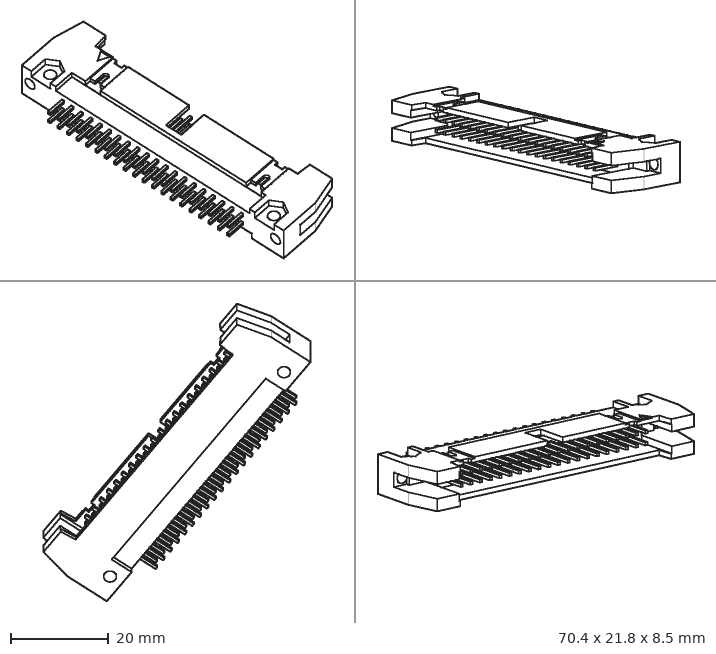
import cadquery as cq
import math

length = 70.4
height = 8.5
wing_top_y = 17.4
shroud_top_y = 13.8
half_length = length / 2
half_height = height / 2

wing_shoulder_y = 10.0
wing_tip_outer_x = 33.45
wing_tip_inner_x = 27.45
wing_root_inner_x = 27.2

wall = 1.1
cavity_half_length = 27.7
cavity_floor_y = 7.4
cavity_height = height - 2 * wall
slot_height = 3.1
slot_outer_floor_y = 5.3
slot_inner_floor_y = 6.1
slot_step_x = 31.8

pin_columns = 20
pin_pitch = 2.5
pin_size = 0.6
pin_tail_y = -4.4
pin_tip_y = 13.6

step_width_y = 5.1
top_step_half_length = 26.05
top_step_depth = 1.3
bottom_step_half_length = 26.6
bottom_step_depth = 1.4

hole_diameter = 2.6
mount_hole_x = 30.05
mount_hole_y = 2.95
nut_sides = 6
nut_width = 5.15
nut_depth = 1.7
end_hole_x = 33.0
end_hole_z = 0.15

foot_depth = 1.2
notch_width = 4.0
notch_floor_y = 6.55

channel_centres = (-20.4, 22.8)
channel_width = 4.0
channel_depth = 0.35
window_width = 1.4
window_top_y = 9.8
rim_cut_width = 2.0
rim_cut_length = 0.85

mark_x = -24.2
mark_width = 2.6
mark_base_y = 13.6
mark_tip_y = 11.0
mark_depth = 0.3


def block(x0, x1, y0, y1, z0, z1):
    """Box between two opposite corners."""
    return cq.Workplane("XY").box(x1 - x0, y1 - y0, z1 - z0, centered=False).translate((x0, y0, z0))


def top_cut(centre_x, width, y0, y1, depth):
    """Box sunk into the top face, centred on centre_x."""
    return block(centre_x - width / 2, centre_x + width / 2, y0, y1, half_height - depth, half_height)


def body_blank():
    """Full-height body with a wing at each end."""
    right_side = [
        (half_length, 0),
        (half_length, wing_shoulder_y),
        (wing_tip_outer_x, wing_top_y),
        (wing_tip_inner_x, wing_top_y),
        (wing_root_inner_x, shroud_top_y),
    ]
    left_side = [(-x, y) for x, y in reversed(right_side)]
    outline = cq.Workplane("XY").polyline(right_side + left_side).close()
    return outline.extrude(half_height, both=True)


def cavity():
    """Mating cavity, open at the rim."""
    return block(
        -cavity_half_length, cavity_half_length,
        cavity_floor_y, wing_top_y,
        -cavity_height / 2, cavity_height / 2,
    )


def latch_slot(side):
    """Stepped slot through one wing into the cavity; side is -1 or 1."""
    half_slot = slot_height / 2
    outer = block(slot_step_x, half_length, slot_outer_floor_y, wing_top_y, -half_slot, half_slot)
    inner = block(cavity_half_length, slot_step_x, slot_inner_floor_y, wing_top_y, -half_slot, half_slot)
    slot = outer.union(inner)
    return slot if side > 0 else slot.mirror("YZ")


def mounting_step(half_step, depth, z_face):
    """Step along the mounting edge, sunk below the top face or above the bottom face."""
    z_inner = z_face - math.copysign(depth, z_face)
    return block(-half_step, half_step, 0, step_width_y, min(z_face, z_inner), max(z_face, z_inner))


def mount_hole(side):
    """Vertical through hole with a hexagonal nut pocket open to the mounting face."""
    x = side * mount_hole_x
    hole = cq.Workplane("XY").circle(hole_diameter / 2).extrude(half_height, both=True)
    nut = (
        cq.Workplane("XY")
        .polygon(nut_sides, nut_width / math.cos(math.pi / nut_sides))
        .extrude(nut_depth)
        .rotate((0, 0, 0), (0, 0, 1), 180 / nut_sides)
        .translate((0, 0, half_height - nut_depth))
    )
    placed = hole.union(nut).translate((x, mount_hole_y, 0))
    return placed.union(top_cut(x, nut_width, 0, mount_hole_y, nut_depth))


def end_hole(side):
    """Hole along Y from the mounting face into the latch slot."""
    hole = cq.Workplane("XZ").circle(hole_diameter / 2).extrude(-slot_outer_floor_y)
    return hole.translate((side * end_hole_x, 0, end_hole_z))


def latch_channel(x):
    """Shallow channel with a round-ended window and a cut in the rim."""
    window_radius = window_width / 2
    arc_y = window_top_y - window_radius
    channel = top_cut(x, channel_width, step_width_y, shroud_top_y, channel_depth)
    foot = top_cut(x, channel_width, step_width_y, notch_floor_y, foot_depth)
    window = top_cut(x, window_width, notch_floor_y, arc_y, foot_depth)
    window_end = (
        cq.Workplane("XY")
        .circle(window_radius)
        .extrude(foot_depth)
        .translate((x, arc_y, half_height - foot_depth))
    )
    rim_cut = top_cut(x, rim_cut_width, shroud_top_y - rim_cut_length, shroud_top_y, wall)
    return channel.union(foot).union(window).union(window_end).union(rim_cut)


def pin_one_mark():
    """Shallow triangle pointing at the first pin."""
    half_mark = mark_width / 2
    return (
        cq.Workplane("XY")
        .workplane(offset=half_height - mark_depth)
        .polyline([
            (mark_x - half_mark, mark_base_y),
            (mark_x + half_mark, mark_base_y),
            (mark_x, mark_tip_y),
        ])
        .close()
        .extrude(mark_depth)
    )


def pins():
    """Square pins running from the tails, through the body, into the cavity."""
    return (
        cq.Workplane("XZ", origin=(0, pin_tail_y, 0))
        .rarray(pin_pitch, pin_pitch, pin_columns, 2)
        .rect(pin_size, pin_size)
        .extrude(pin_tail_y - pin_tip_y)
    )


body = body_blank().cut(cavity())
body = body.cut(mounting_step(top_step_half_length, top_step_depth, half_height))
body = body.cut(mounting_step(bottom_step_half_length, bottom_step_depth, -half_height))
body = body.cut(top_cut(0, notch_width, notch_floor_y, shroud_top_y, foot_depth))
body = body.cut(pin_one_mark())
for side in (-1, 1):
    body = body.cut(latch_slot(side)).cut(mount_hole(side)).cut(end_hole(side))
for channel_x in channel_centres:
    body = body.cut(latch_channel(channel_x))

result = body.union(pins())